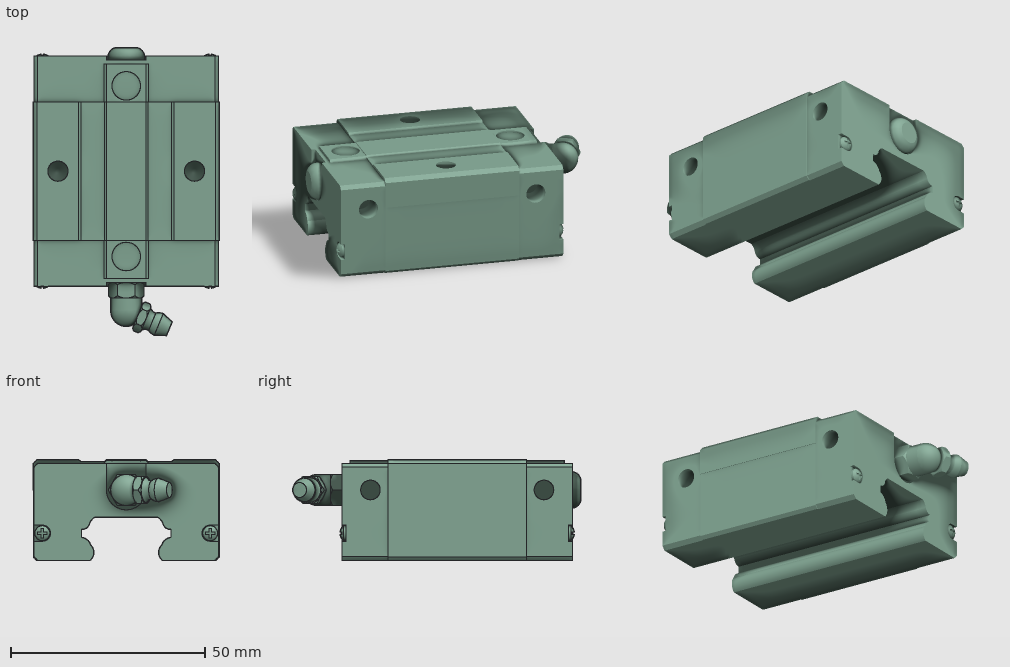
import cadquery as cq
import math


block_width = 48.0
block_length = 35.7
block_height = 26.0
block_chamfer = 1.05
block_bottom_chamfer = 1.0
groove_inner_x = 5.1
groove_outer_x = 12.3
groove_depth = 0.45
groove_inner_run = 0.45
groove_outer_run = 0.7
relief_depth = 0.15

housing_width = 47.6
housing_end_y = 27.6
plate_end_y = 29.7
housing_height = 25.0
housing_chamfer = 1.0
housing_bottom_chamfer = 1.05
rib_half_width = 5.1
rib_run = 0.7
rib_height = 25.75

channel_roof_z = 11.1
channel_roof_x = 8.1
channel_shoulder = (9.5, 9.3)
channel_shoulder_mid = (9.0, 10.4)
channel_side_x = 11.5
channel_side_top_z = 8.0
channel_side_bottom_z = 6.0
channel_upper_mid = (10.1, 8.45)
channel_lower_mid = (10.1, 5.4)
lobe_top = (9.1, 4.0)
lobe_mid = (8.3, 2.15)
lobe_bottom_x = 9.35

axis_z = 18.2
top_hole_x = 17.6
top_hole_diameter = 5.2
top_hole_depth = 8.9
drill_point_angle = 118.0
side_hole_y = 22.35
side_hole_diameter = 5.05
side_hole_depth = 7.4
dimple_y = 22.0
dimple_diameter = 7.35
dimple_depth = 0.45

recess_radius = 5.1
recess_depth = 1.05
recess_floor_y = plate_end_y - recess_depth

screw_x = 21.6
screw_z = 7.05
screw_pocket_radius = 2.1
screw_head_radius = 1.9
screw_side_height = 0.6
screw_head_height = 1.55
cross_length = 2.45
cross_width = 0.6
cross_depth = 0.6

plug_radius = 4.75
plug_rim_y = 29.0
plug_mid_radius = 4.1
plug_mid_y = 31.1
plug_top_radius = 2.8
plug_top_y = 31.8

elbow_hex_flats = 8.0
elbow_hex_length = 4.0
elbow_hex_chamfer = 0.6
elbow_radius = elbow_hex_flats / 2
elbow_center_y = -36.0
nipple_angle = 22.5
nipple_hex_flats = 7.0
nipple_hex_start = 3.2
nipple_hex_length = 2.3
nipple_hex_chamfer = 0.5
nipple_hex_end = nipple_hex_start + nipple_hex_length
neck_base_radius = 3.2
neck_radius = 2.45
neck_mid = (2.7, 6.1)
ball_radius = 3.05
ball_center = 9.05
nipple_tip = 12.0
nipple_tip_radius = 1.9


def prism(points, start_y, end_y):
    """Extrude a closed XZ outline between two Y positions."""
    outline = cq.Workplane("XZ", origin=(0, end_y, 0)).polyline(points).close()
    return outline.extrude(end_y - start_y)


def mirrored(half_points):
    """Complete a +X half outline with its reflection about X = 0."""
    return half_points + [(-x, z) for x, z in reversed(half_points)]


def cylinder_y(radius, start_y, length, x=0.0, z=axis_z):
    """Cylinder along +Y."""
    return cq.Workplane("XZ", origin=(x, start_y, z)).circle(radius).extrude(-length)


def chamfered_hexagon(across_flats, length, chamfer):
    """Hexagon along +Z with turned corners; two corners lie on the X axis."""
    across_corners = across_flats / math.cos(math.radians(30))
    hexagon = cq.Workplane("XY").polygon(6, across_corners).extrude(length)
    turning = cq.Workplane("XY").circle(across_corners / 2).extrude(length)
    return hexagon.intersect(turning.edges().chamfer(chamfer))


def point_along_y(shape, x, z, direction):
    """Turn a shape built along +Z to point along +Y (1) or -Y (-1)."""
    turned = shape.rotate((0, 0, 0), (1, 0, 0), -90 * direction)
    return turned.translate((x, 0, z))


def steel_block():
    """Central block with a shallow groove along each half of its top."""
    half_width = block_width / 2
    floor_z = block_height - groove_depth
    outline = mirrored([
        (groove_inner_x, block_height),
        (groove_inner_x + groove_inner_run, floor_z),
        (groove_outer_x - groove_outer_run, floor_z),
        (groove_outer_x, block_height),
        (half_width - block_chamfer, block_height),
        (half_width, block_height - block_chamfer),
        (half_width, block_bottom_chamfer),
        (half_width - block_bottom_chamfer, 0),
    ])
    block = prism(outline, -block_length / 2, block_length / 2)
    relief = cq.Workplane("XY").box(relief_depth, block_length, axis_z, centered=(False, True, False))
    return block.cut(relief.translate((-half_width, 0, 0)))


def housing_half_outline():
    half_width = housing_width / 2
    return [
        (half_width - housing_chamfer, housing_height),
        (half_width, housing_height - housing_chamfer),
        (half_width, housing_bottom_chamfer),
        (half_width - housing_bottom_chamfer, 0),
    ]


def end_housings():
    """Housings with a raised center rib, and the lower end plates, at both ends."""
    rib = [(rib_half_width, rib_height), (rib_half_width + rib_run, housing_height)]
    housings = prism(mirrored(rib + housing_half_outline()), -housing_end_y, housing_end_y)
    plates = prism(mirrored(housing_half_outline()), -plate_end_y, plate_end_y)
    gap = cq.Workplane("XY").box(2 * block_width, block_length, 3 * block_height)
    return housings.union(plates).cut(gap)


def rail_channel():
    half = (
        cq.Workplane("XZ", origin=(0, plate_end_y, 0))
        .moveTo(0, channel_roof_z)
        .lineTo(channel_roof_x, channel_roof_z)
        .threePointArc(channel_shoulder_mid, channel_shoulder)
        .threePointArc(channel_upper_mid, (channel_side_x, channel_side_top_z))
        .lineTo(channel_side_x, channel_side_bottom_z)
        .threePointArc(channel_lower_mid, lobe_top)
        .threePointArc(lobe_mid, (lobe_bottom_x, 0))
        .lineTo(0, 0)
        .close()
        .extrude(2 * plate_end_y)
    )
    return half.union(half.mirror("YZ"))


def drilled_hole(x):
    """Vertical blind hole in the top face with a drill-point bottom."""
    radius = top_hole_diameter / 2
    point_height = radius / math.tan(math.radians(drill_point_angle / 2))
    profile = [
        (0, block_height),
        (radius, block_height),
        (radius, block_height - top_hole_depth),
        (0, block_height - top_hole_depth - point_height),
    ]
    hole = cq.Workplane("XZ").polyline(profile).close().revolve(360, (0, 0, 0), (0, 1, 0))
    return hole.translate((x, 0, 0))


def side_hole(side, y):
    start_x = side * housing_width / 2
    face = cq.Workplane("YZ", origin=(start_x, y, axis_z))
    return face.circle(side_hole_diameter / 2).extrude(-side * side_hole_depth)


def top_dimple(y):
    floor = cq.Workplane("XY", origin=(0, y, rib_height - dimple_depth))
    return floor.circle(dimple_diameter / 2).extrude(dimple_depth)


def plate_recess():
    """U-shaped recess in the +Y end plate, open at the top."""
    slot = cq.Workplane("XY").box(
        2 * recess_radius, recess_depth, block_height - axis_z, centered=(True, False, False)
    )
    slot = slot.translate((0, recess_floor_y, axis_z))
    return slot.union(cylinder_y(recess_radius, recess_floor_y, recess_depth))


def screw_pocket(side):
    """Round pocket in the +Y end plate, open to the side."""
    reach = housing_width / 2 - screw_x
    slot = cq.Workplane("XY").box(reach, recess_depth, 2 * screw_pocket_radius)
    slot = slot.translate((side * (screw_x + reach / 2), recess_floor_y + recess_depth / 2, screw_z))
    bore = cylinder_y(screw_pocket_radius, recess_floor_y, recess_depth, side * screw_x, screw_z)
    return bore.union(slot)


def screw_head(side):
    """Domed cross-recess head standing on the pocket floor at the +Y end."""
    rise = screw_head_height - screw_side_height
    dome_radius = (screw_head_radius ** 2 + rise ** 2) / (2 * rise)
    half_angle = math.asin(screw_head_radius / dome_radius) / 2
    dome_mid = (
        dome_radius * math.sin(half_angle),
        screw_head_height - dome_radius * (1 - math.cos(half_angle)),
    )
    head = (
        cq.Workplane("XZ")
        .lineTo(screw_head_radius, 0)
        .lineTo(screw_head_radius, screw_side_height)
        .threePointArc(dome_mid, (0, screw_head_height))
        .close()
        .revolve(360, (0, 0, 0), (0, 1, 0))
    )
    cross_floor = cq.Workplane("XY").workplane(offset=screw_head_height - cross_depth)
    head = head.cut(cross_floor.rect(cross_length, cross_width).extrude(cross_depth))
    head = head.cut(cross_floor.rect(cross_width, cross_length).extrude(cross_depth))
    return point_along_y(head, side * screw_x, screw_z, 1).translate((0, recess_floor_y, 0))


def closing_plug():
    plug = (
        cq.Workplane("XZ")
        .moveTo(0, recess_floor_y)
        .lineTo(plug_radius, recess_floor_y)
        .lineTo(plug_radius, plug_rim_y)
        .threePointArc((plug_mid_radius, plug_mid_y), (plug_top_radius, plug_top_y))
        .lineTo(0, plug_top_y)
        .close()
        .revolve(360, (0, 0, 0), (0, 1, 0))
    )
    return point_along_y(plug, 0, axis_z, 1)


def elbow():
    hexagon = chamfered_hexagon(elbow_hex_flats, elbow_hex_length, elbow_hex_chamfer)
    hexagon = point_along_y(hexagon, 0, axis_z, -1).translate((0, -recess_floor_y, 0))
    barrel_length = -recess_floor_y - elbow_center_y
    barrel = cylinder_y(elbow_radius, elbow_center_y, barrel_length)
    ball_end = cq.Workplane("XY").sphere(elbow_radius).translate((0, elbow_center_y, axis_z))
    return hexagon.union(barrel).union(ball_end)


def angled_nipple():
    """Nipple starting inside the elbow's ball end, tilted from +X towards -Y."""
    hexagon = chamfered_hexagon(nipple_hex_flats, nipple_hex_length, nipple_hex_chamfer)
    hexagon = hexagon.translate((0, 0, nipple_hex_start))
    ball_start = ball_center - math.sqrt(ball_radius ** 2 - neck_radius ** 2)
    half_angle = math.asin(neck_radius / ball_radius) / 2 + math.pi / 4
    ball_mid = (ball_radius * math.sin(half_angle), ball_center - ball_radius * math.cos(half_angle))
    turned = (
        cq.Workplane("XZ")
        .lineTo(neck_radius, 0)
        .lineTo(neck_radius, nipple_hex_end)
        .lineTo(neck_base_radius, nipple_hex_end)
        .threePointArc(neck_mid, (neck_radius, ball_start))
        .threePointArc(ball_mid, (ball_radius, ball_center))
        .lineTo(nipple_tip_radius, nipple_tip)
        .lineTo(0, nipple_tip)
        .close()
        .revolve(360, (0, 0, 0), (0, 1, 0))
    )
    nipple = point_along_y(hexagon.union(turned), 0, axis_z, -1)
    nipple = nipple.rotate((0, 0, 0), (0, 0, 1), 90 - nipple_angle)
    return nipple.translate((0, elbow_center_y, 0))


carriage = steel_block().union(end_housings()).cut(rail_channel())

for side in (-1, 1):
    carriage = carriage.cut(drilled_hole(side * top_hole_x))
    for end in (-1, 1):
        carriage = carriage.cut(side_hole(side, end * side_hole_y))

for end in (-1, 1):
    carriage = carriage.cut(top_dimple(end * dimple_y))

plate_cuts = plate_recess().union(screw_pocket(-1)).union(screw_pocket(1))
carriage = carriage.cut(plate_cuts).cut(plate_cuts.mirror("XZ"))

for side in (-1, 1):
    head = screw_head(side)
    carriage = carriage.union(head).union(head.mirror("XZ"))

result = carriage.union(closing_plug()).union(elbow()).union(angled_nipple())